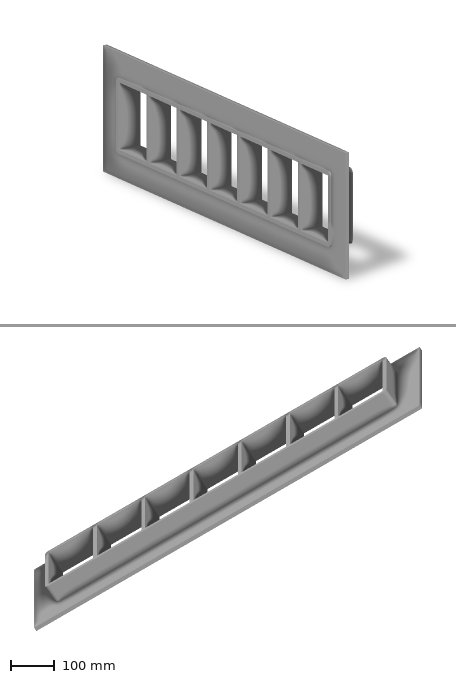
import cadquery as cq

plate_length = 1043.5
plate_height = 299.5
plate_thickness = 10.0

flange_width = 60.0
frame_depth = 60.0
frame_front_projection = 3.0
frame_corner_radius = 10.0
frame_length = plate_length - 2 * flange_width
frame_height = plate_height - 2 * flange_width

window_count = 7
wall_thickness = 10.0
window_width = (frame_length - (window_count + 1) * wall_thickness) / window_count
window_height = frame_height - 2 * wall_thickness
window_pitch = window_width + wall_thickness


def make_plate():
    """Rectangular flange with its front face on the plane Y = 0."""
    return cq.Workplane("XY").box(
        plate_length, plate_thickness, plate_height, centered=(True, False, True)
    )


def make_frame():
    """Box with rounded corners, standing slightly proud of the plate front."""
    return (
        cq.Workplane("XY")
        .box(frame_length, frame_depth, frame_height, centered=(True, False, True))
        .edges("|Y")
        .fillet(frame_corner_radius)
        .translate((0, -frame_front_projection, 0))
    )


def make_windows():
    """Row of square-cornered cutters spanning the full frame depth."""
    first_center_x = -window_pitch * (window_count - 1) / 2
    centers = [
        (first_center_x + index * window_pitch, -frame_front_projection, 0)
        for index in range(window_count)
    ]
    cutter = cq.Workplane("XY").box(
        window_width, frame_depth, window_height, centered=(True, False, True)
    )
    return cq.Workplane("XY").pushPoints(centers).eachpoint(cutter.val(), combine=False)


result = make_plate().union(make_frame()).cut(make_windows())